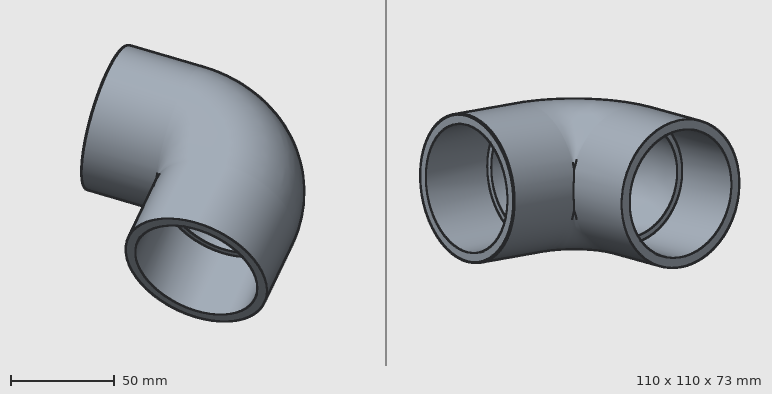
import cadquery as cq
import math

overall_length = 110.0
outer_diameter = 73.0
socket_diameter = 63.0
bore_diameter = 56.8

pipe_length = 38.5
socket_depth = 38.0
rim_chamfer = 0.5

outer_radius = outer_diameter / 2
bore_radius = bore_diameter / 2
bend_radius = overall_length - outer_radius - pipe_length



def pipe_along_x(diameter, length):
    """Cylinder on the axis of the -X pipe, running inward from its open end."""
    return cq.Workplane("YZ", origin=(-pipe_length, bend_radius, 0)).circle(diameter / 2).extrude(length)


def pipe_along_y(diameter, length):
    """Cylinder on the axis of the -Y pipe, running inward from its open end."""
    return cq.Workplane("XZ", origin=(bend_radius, -pipe_length, 0)).circle(diameter / 2).extrude(-length)


def outer_bend():
    """Quarter of a solid ring whose section disc is cut off at the bend axis."""
    reach = bend_radius + outer_radius
    half_chord = math.sqrt(outer_radius**2 - bend_radius**2)
    ring = (
        cq.Workplane("XZ")
        .moveTo(0, -half_chord)
        .threePointArc((reach, 0), (0, half_chord))
        .close()
        .revolve(360, (0, 0, 0), (0, 1, 0))
    )
    quarter = cq.Workplane("XY").box(reach, reach, outer_diameter, centered=(False, False, True))
    return ring.intersect(quarter)


def bend_bore():
    """Curved bore that joins the two sockets."""
    section = cq.Workplane("XZ").center(bend_radius, 0).circle(bore_radius)
    return section.revolve(90, (-bend_radius, 0, 0), (-bend_radius, 1, 0))


def body():
    """Solid elbow with a chamfered rim on the -X pipe."""
    x_pipe = pipe_along_x(outer_diameter, pipe_length)
    x_pipe = x_pipe.faces("<X").chamfer(rim_chamfer)
    y_pipe = pipe_along_y(outer_diameter, pipe_length)
    return outer_bend().union(x_pipe).union(y_pipe)


def passage():
    """Bore through the elbow, widened to a socket at each end."""
    bore = bend_bore()
    for pipe in (pipe_along_x, pipe_along_y):
        bore = bore.union(pipe(bore_diameter, pipe_length))
        bore = bore.union(pipe(socket_diameter, socket_depth))
    return bore


result = body().cut(passage()).translate((-bend_radius, -bend_radius, 0))